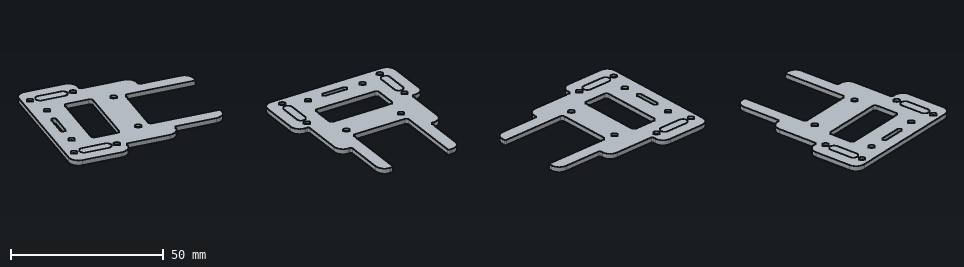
import cadquery as cq

thickness = 2.0
base_width = 49.65
middle_width = 39.95
finger_span = 30.9
finger_gap = 21.1
base_top = 21.0
middle_top = 39.95
total_length = 58.25
gap_floor = 33.05

outer_radius = 3.5
step_radius = 0.5
finger_tip_radius = 0.5
gap_radius = 1.0
window_radius = 1.0

hole_diameter = 2.2
countersink_diameter = 4.4
countersink_depth = (countersink_diameter - hole_diameter) / 2
inner_hole_x = 10.55
inner_hole_ys = (5.55, 29.15)
insert_x = 18.9
outer_hole_ys = (3.0, 18.1)

window_width = 24.25
window_bottom = 12.2
window_top = 22.0
slot_length = 9.45
slot_width = 1.7
slot_y = 5.25

insert_width = 3.2
insert_length = 11.25
insert_depth = thickness / 2
insert_y = sum(outer_hole_ys) / 2

SIDES = (-1, 1)


def block(width, bottom, top):
    """Full-thickness block centred on X, between two Y positions."""
    return cq.Workplane("XY").box(width, top - bottom, thickness, centered=(True, False, False)).translate(
        (0, bottom, 0)
    )


def round_corners(plate, half_width, y, radius):
    """Round the two mirrored vertical edges at +/- half_width."""
    for side in SIDES:
        edge = cq.selectors.NearestToPointSelector((side * half_width, y, thickness / 2))
        plate = plate.edges("|Z").edges(edge).fillet(radius)
    return plate


def make_outline():
    """Stepped, forked plate with all outside and inside corners rounded."""
    plate = block(base_width, 0, base_top)
    plate = plate.union(block(middle_width, 0, middle_top))
    plate = plate.union(block(finger_span, 0, total_length))
    plate = plate.cut(block(finger_gap, gap_floor, total_length))

    plate = round_corners(plate, base_width / 2, 0, outer_radius)
    plate = round_corners(plate, base_width / 2, base_top, outer_radius)
    plate = round_corners(plate, middle_width / 2, middle_top, outer_radius)
    plate = round_corners(plate, finger_span / 2, total_length, outer_radius)
    plate = round_corners(plate, middle_width / 2, base_top, step_radius)
    plate = round_corners(plate, finger_span / 2, middle_top, step_radius)
    plate = round_corners(plate, finger_gap / 2, total_length, finger_tip_radius)
    return round_corners(plate, finger_gap / 2, gap_floor, gap_radius)


def make_insert(side):
    """Round-ended insert on one side of the plate."""
    return (
        cq.Workplane("XY", origin=(0, 0, thickness))
        .center(side * insert_x, insert_y)
        .slot2D(insert_length, insert_width, 90)
        .extrude(-insert_depth)
    )


def make_holes():
    """Cutters for the four inner and four outer holes, each with its countersink."""
    points = [(side * inner_hole_x, y) for side in SIDES for y in inner_hole_ys]
    points += [(side * insert_x, y) for side in SIDES for y in outer_hole_ys]
    bores = cq.Workplane("XY").pushPoints(points).circle(hole_diameter / 2).extrude(thickness)
    cone = cq.Solid.makeCone(countersink_diameter / 2, hole_diameter / 2, countersink_depth)
    countersinks = cq.Workplane("XY").pushPoints(points).eachpoint(lambda place: cone.moved(place))
    return bores.union(countersinks)


def make_plate(inserts):
    """Plate with its holes, window, slot and the recesses that the inserts fill."""
    window = block(window_width, window_bottom, window_top).edges("|Z").fillet(window_radius)
    slot = cq.Workplane("XY").center(0, slot_y).slot2D(slot_length, slot_width).extrude(thickness)
    plate = make_outline().cut(make_holes()).cut(window).cut(slot)
    for insert in inserts:
        plate = plate.cut(insert)
    return plate


inserts = [make_insert(side) for side in SIDES]
plate = make_plate(inserts)

result = cq.Compound.makeCompound([plate.solids().val(), *[insert.val() for insert in inserts]])